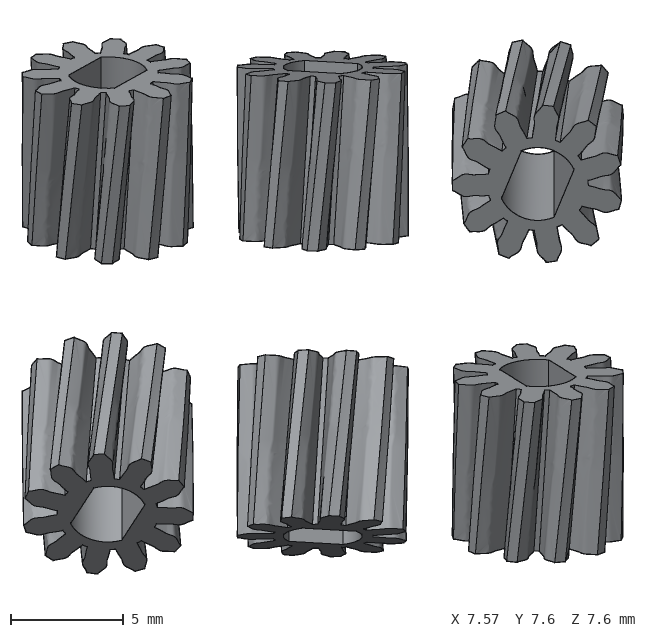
import cadquery as cq
import math

face_width = 7.6
tooth_count = 11
twist_angle = 12.0
tip_radius = 3.8
root_radius = 2.24
bore_diameter = 3.5
bore_across_flats = 2.5

root_half_width = 0.52
neck_half_width = 0.51
neck_distance = 2.925
bulge_half_width = 0.55
bulge_distance = 3.17
shoulder_half_width = 0.53
shoulder_distance = 3.28
tip_half_width = 0.24

first_tooth_angle = 180.0 - twist_angle / 2
tooth_pitch_angle = 360.0 / tooth_count


def distance_on_circle(radius, half_width):
    """Distance along the tooth axis to a point of the circle off to one side."""
    return math.sqrt(radius**2 - half_width**2)


def tooth_point(tooth_angle, distance, offset):
    """Point at a distance along a tooth axis, offset to its left."""
    angle = math.radians(tooth_angle)
    x = distance * math.cos(angle) - offset * math.sin(angle)
    y = distance * math.sin(angle) + offset * math.cos(angle)
    return (x, y)


def flank_points(tooth_angle, side):
    """Points of one flank from root to tip; side is -1 (right) or 1 (left)."""
    root_distance = distance_on_circle(root_radius, root_half_width)
    tip_distance = distance_on_circle(tip_radius, tip_half_width)
    mid_root_distance = (root_distance + neck_distance) / 2
    mid_root_half_width = (root_half_width + neck_half_width) / 2
    mid_face_distance = (shoulder_distance + tip_distance) / 2
    mid_face_half_width = (shoulder_half_width + tip_half_width) / 2
    stations = [
        (root_distance, root_half_width),
        (mid_root_distance, mid_root_half_width),
        (neck_distance, neck_half_width),
        (bulge_distance, bulge_half_width),
        (shoulder_distance, shoulder_half_width),
        (mid_face_distance, mid_face_half_width),
        (tip_distance, tip_half_width),
    ]
    return [tooth_point(tooth_angle, distance, side * half_width) for distance, half_width in stations]


def gear_profile():
    """Closed outline of the toothed section, drawn one tooth after another."""
    start = flank_points(first_tooth_angle, -1)[0]
    outline = cq.Workplane("XY").moveTo(*start)
    for tooth in range(tooth_count):
        angle = first_tooth_angle + tooth * tooth_pitch_angle
        rising_flank = flank_points(angle, -1)
        falling_flank = flank_points(angle, 1)[::-1]
        outline = outline.spline(rising_flank[1:], includeCurrent=True)
        outline = outline.lineTo(*falling_flank[0])
        outline = outline.spline(falling_flank[1:], includeCurrent=True)
        if tooth < tooth_count - 1:
            next_root = flank_points(angle + tooth_pitch_angle, -1)[0]
            outline = outline.lineTo(*next_root)
    return outline.close()


def double_d_bore():
    """Through bore with two flats facing along X."""
    round_bore = cq.Workplane("XY").circle(bore_diameter / 2).extrude(face_width)
    flats = cq.Workplane("XY").rect(bore_across_flats, bore_diameter).extrude(face_width)
    return round_bore.intersect(flats)


gear_body = gear_profile().twistExtrude(face_width, twist_angle)
result = gear_body.cut(double_d_bore())